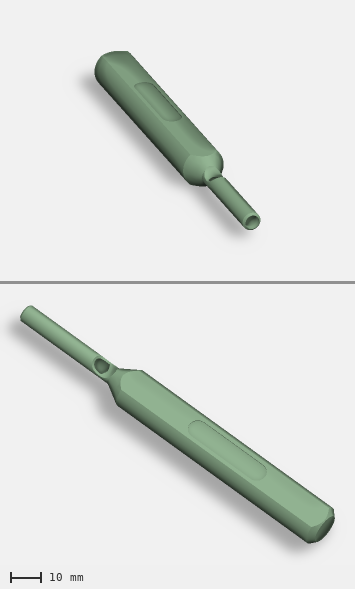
import cadquery as cq
import math

overall_length = 127.0
handle_diameter = 14.22
flat_thickness = 10.92

butt_chamfer = 2.0
taper_start = 82.55
taper_half_angle = 30.0
shank_diameter = 6.26
tip_chamfer = 0.7

recess_length = 31.5
recess_width = 6.6
recess_depth = 0.3
recess_center_x = 41.3

window_radius = 4.76
window_center_x = 93.25
window_floor_z = 0.6

bore_diameter = 4.76
drill_point_angle = 118.0
bore_shoulder_x = 92.9

handle_radius = handle_diameter / 2
shank_radius = shank_diameter / 2
bore_radius = bore_diameter / 2


def make_turned_body():
    """Handle, taper and shank revolved about the X axis."""
    taper_length = (handle_radius - shank_radius) / math.tan(math.radians(taper_half_angle))
    return (
        cq.Workplane("XY")
        .moveTo(0, 0)
        .lineTo(0, handle_radius - butt_chamfer)
        .lineTo(butt_chamfer, handle_radius)
        .lineTo(taper_start, handle_radius)
        .lineTo(taper_start + taper_length, shank_radius)
        .lineTo(overall_length - tip_chamfer, shank_radius)
        .lineTo(overall_length, shank_radius - tip_chamfer)
        .lineTo(overall_length, 0)
        .close()
        .revolve(360, (0, 0, 0), (1, 0, 0))
    )


def make_flats_envelope():
    """Slab whose upper and lower faces form the handle flats."""
    return cq.Workplane("XY").box(
        overall_length, handle_diameter, flat_thickness, centered=(False, True, True)
    )


def make_label_recess():
    """Shallow round-ended recess in the upper flat."""
    return (
        cq.Workplane("XY", origin=(recess_center_x, 0, flat_thickness / 2 - recess_depth))
        .slot2D(recess_length, recess_width)
        .extrude(recess_depth)
    )


def make_window():
    """Cylinder lying along Y that scoops the top of the shank."""
    window_axis_z = window_floor_z + window_radius
    return (
        cq.Workplane("XZ", origin=(window_center_x, 0, window_axis_z))
        .circle(window_radius)
        .extrude(handle_radius, both=True)
    )


def make_bore():
    """Blind bore from the tip with a conical drill point."""
    point_length = bore_radius / math.tan(math.radians(drill_point_angle / 2))
    return (
        cq.Workplane("XY")
        .moveTo(bore_shoulder_x - point_length, 0)
        .lineTo(bore_shoulder_x, bore_radius)
        .lineTo(overall_length, bore_radius)
        .lineTo(overall_length, 0)
        .close()
        .revolve(360, (0, 0, 0), (1, 0, 0))
    )


result = (
    make_turned_body()
    .intersect(make_flats_envelope())
    .cut(make_label_recess())
    .cut(make_window())
    .cut(make_bore())
)